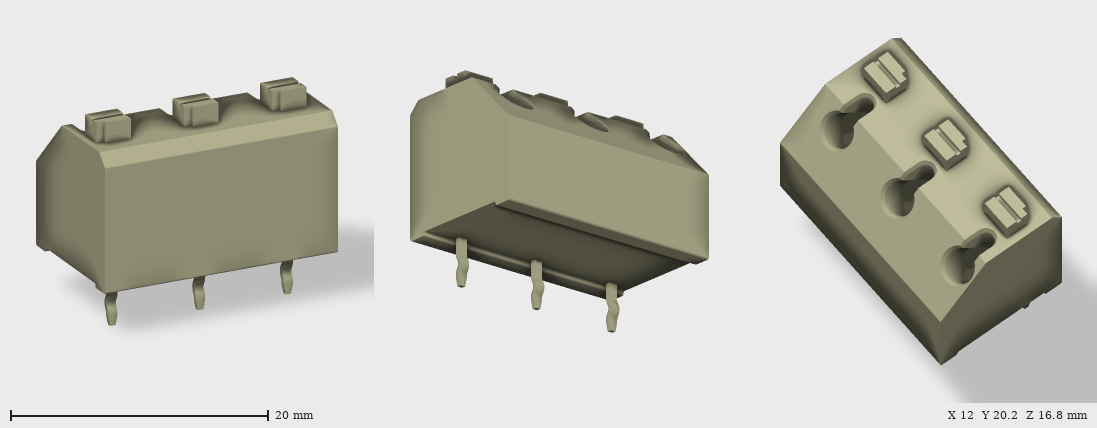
import cadquery as cq
import math


pole_count = 3
stack_length = 20.25
module_width = 3.5
end_plate_width = 1.5
pole_pitch = (stack_length - end_plate_width - module_width) / (pole_count - 1)
spacer_width = pole_pitch - module_width

depth = 12.0
height = 11.5
front_wall_height = 7.0
ridge_x = height - front_wall_height
back_chamfer = 1.0
foot_length = 1.68
foot_height = 0.35
outer_radius = 0.18
foot_radius = 0.15

entry_x = 3.08
entry_z = front_wall_height + entry_x
entry_radius = 1.42
entry_depth = 3.65
slot_radius = 0.7
slot_end_center_x = 5.85
lead_in_depth = 0.38
lead_in_width = 0.18
guide_start_depth = 2.49
lower_guide_offset = 1.11
side_guide_offset = 0.59

button_x = 7.1
button_length = 2.37
button_width = 2.81
button_rise = 1.7
button_step_x = 0.35
button_step_y = 0.63
groove_x = 8.3
groove_width = 0.4
groove_depth = 0.35
groove_rounding = 0.08

pin_center_x = 9.67
pin_thickness = 0.4
pin_width = 0.79
pin_tip_width = 0.47
pin_bottom = -3.6
pin_taper_start = -2.83
bend_z = -1.82
bend_half_height = 0.87
bend_radius = 0.75


def box(x_min, x_max, y_min, y_max, z_min, z_max):
    return cq.Workplane("XY").box(
        x_max - x_min, y_max - y_min, z_max - z_min, centered=False
    ).translate((x_min, y_min, z_min))


def extrude_along_y(outline, y_start, width):
    """Extrude an XZ outline from y_start towards +Y."""
    return outline.extrude(-width).translate((0, y_start, 0))


def make_slice(y_start, width):
    """Plain housing slice: the shared cross-section with every long edge rounded."""
    left_foot_inner = foot_length
    right_foot_inner = depth - foot_length
    outer_corners = [
        (0, 0),
        (0, front_wall_height),
        (ridge_x, height),
        (depth - back_chamfer, height),
        (depth, height - back_chamfer),
        (depth, 0),
    ]
    foot_corners = [
        (right_foot_inner, 0),
        (right_foot_inner, foot_height),
        (left_foot_inner, foot_height),
        (left_foot_inner, 0),
    ]
    outline = cq.Workplane("XZ").polyline(outer_corners + foot_corners).close()
    body = extrude_along_y(outline, y_start, width)
    middle_y = y_start + width / 2
    for corners, radius in [(outer_corners, outer_radius), (foot_corners, foot_radius)]:
        for x, z in corners:
            edge_at_corner = cq.selectors.NearestToPointSelector((x, middle_y, z))
            body = body.edges(edge_at_corner).fillet(radius)
    return body


def mouth_planes(y_center):
    """Planes at the centre of the hole mouth: the slope itself, then two whose y axis points out of the hole."""
    mouth = (entry_x, y_center, entry_z)
    slope = cq.Plane(origin=mouth, xDir=(0, 1, 0), normal=(-1, 0, 1))
    down_slope = cq.Plane(origin=mouth, xDir=(-1, 0, -1), normal=(0, 1, 0))
    across_slope = cq.Plane(origin=mouth, xDir=(0, 1, 0), normal=(1, 0, 1))
    return slope, down_slope, across_slope


def make_lead_in_end(plane, radius):
    """Conical lead-in narrowing from the plane to the given radius."""
    return (
        cq.Workplane(plane).circle(radius + lead_in_width)
        .workplane(offset=-lead_in_depth).circle(radius).loft()
    )


def make_slot_lead_in(plane, length):
    """Straight tapered lead-in of the slot, extruded along the plane's normal."""
    top = slot_radius + lead_in_width
    return cq.Workplane(plane).polyline([
        (-top, 0),
        (top, 0),
        (slot_radius, -lead_in_depth),
        (-slot_radius, -lead_in_depth),
    ]).close().extrude(length)


def make_slot(y_center):
    """Upright round-ended slot above the hole axis and above the plane of the hole's flat end."""
    axis_end_x = entry_x + entry_depth / math.sqrt(2)
    axis_end_z = entry_z - entry_depth / math.sqrt(2)
    above_hole_axis = extrude_along_y(
        cq.Workplane("XZ").polyline([
            (entry_x, entry_z),
            (axis_end_x, axis_end_z),
            (axis_end_x + height - axis_end_z, height),
            (entry_x, height),
        ]).close(),
        y_center - module_width / 2,
        module_width,
    )
    straight = box(entry_x, slot_end_center_x, y_center - slot_radius, y_center + slot_radius, 0, height)
    round_end = cq.Workplane("XY").center(slot_end_center_x, y_center).circle(slot_radius).extrude(height)
    return straight.union(round_end).intersect(above_hole_axis)


def make_guide_wall(plane, end_offset):
    """Sloping wedge that narrows the hole towards its flat end, on the side the plane's x points to."""
    return cq.Workplane(plane).polyline([
        (entry_radius, -guide_start_depth),
        (end_offset, -entry_depth),
        (entry_radius, -entry_depth),
    ]).close().extrude(2 * entry_radius, both=True)


def make_entry_cutter(y_center):
    """Volume removed by the wire hole, its upright slot and their lead-ins."""
    slope, down_slope, across_slope = mouth_planes(y_center)
    ridge = cq.Plane(origin=(ridge_x, y_center, height), xDir=(0, 1, 0), normal=(1, 0, 0))
    slot_end = cq.Plane(origin=(slot_end_center_x, y_center, height))
    hole = cq.Workplane(slope).circle(entry_radius).extrude(-entry_depth)
    return (
        hole.union(make_slot(y_center))
        .cut(make_guide_wall(down_slope, lower_guide_offset))
        .cut(make_guide_wall(across_slope, side_guide_offset))
        .union(make_lead_in_end(slope, entry_radius))
        .union(make_lead_in_end(slot_end, slot_radius))
        .union(make_slot_lead_in(ridge, slot_end_center_x - ridge_x))
        .union(make_slot_lead_in(across_slope, (ridge_x - entry_x) * math.sqrt(2)))
    )


def make_button(y_max):
    """Stepped button with a screwdriver groove across its top."""
    button_top = height + button_rise
    x_max = button_x + button_length
    y_min = y_max - button_width
    button = box(button_x, x_max, y_min, y_max, height, button_top)
    step = box(x_max - button_step_x, x_max, y_min, y_min + button_step_y, height, button_top)
    groove_floor = button_top - groove_depth
    groove_walls = (groove_x - groove_width / 2, groove_x + groove_width / 2)
    button = button.cut(step).cut(box(*groove_walls, y_min, y_max, groove_floor, button_top))
    for x in groove_walls:
        for z in (groove_floor, button_top):
            groove_edge = cq.selectors.NearestToPointSelector((x, (y_min + y_max) / 2, z))
            button = button.edges(groove_edge).fillet(groove_rounding)
    return button


def make_pin(y_center):
    """Flat pin with a forward bend made of equal arcs, and a tapered tip."""
    sine = bend_half_height / (2 * bend_radius)
    cosine = math.sqrt(1 - sine ** 2)

    def arc_joint(side, end):
        """Point where the entry arc meets the bend arc, on one side (+1 back) and end (+1 upper)."""
        radius = bend_radius + side * pin_thickness / 2
        x = pin_center_x - bend_radius + radius * cosine
        z = bend_z + end * (bend_half_height - radius * sine)
        return x, z

    front_x = pin_center_x - pin_thickness / 2
    back_x = pin_center_x + pin_thickness / 2
    pin_root = foot_height
    bend_top = bend_z + bend_half_height
    bend_bottom = bend_z - bend_half_height
    profile = (
        cq.Workplane("XZ")
        .moveTo(back_x, pin_root)
        .lineTo(back_x, bend_top)
        .tangentArcPoint(arc_joint(1, 1), relative=False)
        .tangentArcPoint(arc_joint(1, -1), relative=False)
        .tangentArcPoint((back_x, bend_bottom), relative=False)
        .lineTo(back_x, pin_bottom)
        .lineTo(front_x, pin_bottom)
        .lineTo(front_x, bend_bottom)
        .tangentArcPoint(arc_joint(-1, -1), relative=False)
        .tangentArcPoint(arc_joint(-1, 1), relative=False)
        .tangentArcPoint((front_x, bend_top), relative=False)
        .lineTo(front_x, pin_root)
        .close()
    )
    strip = extrude_along_y(profile, y_center - pin_width / 2, pin_width)
    face = (
        cq.Workplane("YZ", origin=(0, y_center, 0))
        .polyline([
            (-pin_width / 2, pin_root),
            (pin_width / 2, pin_root),
            (pin_width / 2, pin_taper_start),
            (pin_tip_width / 2, pin_bottom),
            (-pin_tip_width / 2, pin_bottom),
            (-pin_width / 2, pin_taper_start),
        ]).close().extrude(depth)
    )
    return strip.intersect(face)


def make_pole_module(y_start):
    y_center = y_start + module_width / 2
    module = make_slice(y_start, module_width).cut(make_entry_cutter(y_center))
    return module.union(make_button(y_start + module_width)).union(make_pin(y_center))


pole_modules = [make_pole_module(i * pole_pitch) for i in range(pole_count)]
spacers = [make_slice(i * pole_pitch + module_width, spacer_width) for i in range(pole_count - 1)]
end_plate = make_slice(stack_length - end_plate_width, end_plate_width)

result = cq.Compound.makeCompound([
    *[module.val() for module in pole_modules],
    *[spacer.val() for spacer in spacers],
    end_plate.val(),
])